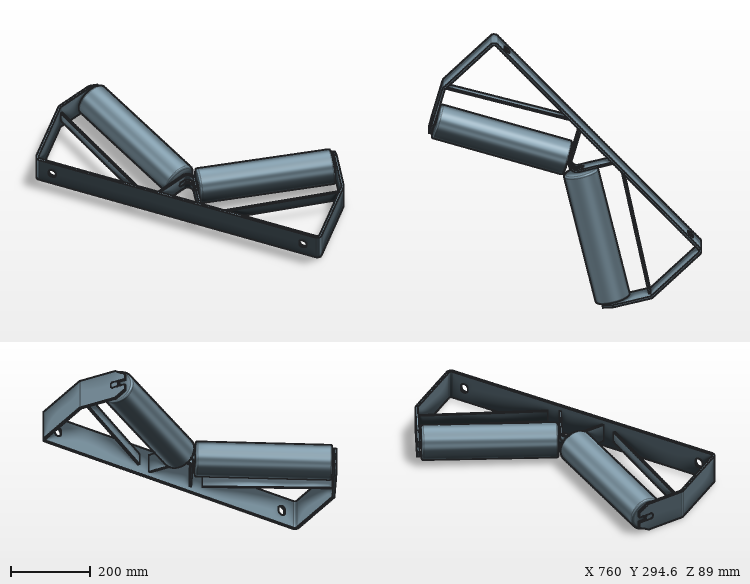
import cadquery as cq
import math

LENGTH = 760
FRAME_HEIGHT = 80.0
FRAME_THICKNESS = 6.0
CORNER_RADIUS = 12.0
SHOULDER_RADIUS = 9.0
SHOULDER_Y = 178.5
FLANGE_ANGLE = 60
FLANGE_LENGTH = 127.0
CHAMFER_ALONG_FLANGE = 26.5
CHAMFER_HEIGHT = 17.0

MOUNT_X = 334.0
MOUNT_WIDTH = 20.0
MOUNT_HEIGHT = 26.5

ROLLER_DIAMETER = 89.0
ROLLER_LENGTH = 343.5
ROLLER_EDGE_RADIUS = 5.0
ROLLER_GAP = 5.0
AXIS_ALONG_FLANGE = 98.0
SHAFT_DIAMETER = 21.0
SHAFT_FLATS = 16.0

BRACKET_HEIGHT = 50.0
BRACKET_THICKNESS = 5.0
BRACKET_BEND_RADIUS = 20.0

BRACE_HEIGHT = 30.5
BRACE_THICKNESS = 5.0
BRACE_FOOT_X = 96.0

half_length = LENGTH / 2
sine = math.sin(math.radians(FLANGE_ANGLE))
cosine = math.cos(math.radians(FLANGE_ANGLE))
slope = sine / cosine
flange_to_bracket = FRAME_THICKNESS + ROLLER_LENGTH + 2 * ROLLER_GAP
shaft_length = flange_to_bracket + BRACKET_THICKNESS

axis_x = -half_length + AXIS_ALONG_FLANGE * cosine
axis_y = SHOULDER_Y + AXIS_ALONG_FLANGE * sine
axis_plane = cq.Plane(origin=(axis_x, axis_y, 0), xDir=(cosine, sine, 0), normal=(sine, -cosine, 0))


def mirrored(body):
    """Right-hand copy of a left-hand body."""
    return body.mirror("YZ")


def prism(points, height):
    """Upright prism centred on Z = 0."""
    return cq.Workplane("XY").polyline(points).close().extrude(height / 2, both=True)


def near(x, y):
    """Selects the upright edge or face closest to a point."""
    return cq.selectors.NearestToPointSelector((x, y, 0))


def flatted_shaft(length):
    """Round shaft with two flats, from the outer flange face along the left roller axis."""
    start = cq.Workplane(axis_plane)
    flats = start.rect(SHAFT_DIAMETER, SHAFT_FLATS).extrude(length)
    return start.circle(SHAFT_DIAMETER / 2).extrude(length).intersect(flats)


def shaft_opening():
    """Left-half cutter: the shaft itself plus the way it drops in along the plates."""
    reach = shaft_length + ROLLER_DIAMETER
    entry = (
        cq.Workplane(axis_plane)
        .center(ROLLER_DIAMETER / 2, 0)
        .rect(ROLLER_DIAMETER, SHAFT_FLATS)
        .extrude(reach)
    )
    left_half = cq.Workplane("XY").box(LENGTH, LENGTH, LENGTH).translate((-half_length, 0, 0))
    return entry.union(flatted_shaft(reach)).intersect(left_half)


def corner_cutter(side):
    """Wedge that bevels the upper (side 1) or lower (side -1) corner of the left flange tip."""
    tip = FLANGE_LENGTH - AXIS_ALONG_FLANGE
    corner_z = side * FRAME_HEIGHT / 2
    bevel = [
        (tip, corner_z),
        (tip - CHAMFER_ALONG_FLANGE, corner_z),
        (tip, corner_z - side * CHAMFER_HEIGHT),
    ]
    return cq.Workplane(axis_plane).polyline(bevel).close().extrude(FRAME_THICKNESS)


def make_frame():
    tip_x = half_length - FLANGE_LENGTH * cosine
    tip_y = SHOULDER_Y + FLANGE_LENGTH * sine
    valley_y = tip_y - tip_x / slope
    outline = [
        (-half_length, 0),
        (-half_length, SHOULDER_Y),
        (-tip_x, tip_y),
        (0, valley_y),
        (tip_x, tip_y),
        (half_length, SHOULDER_Y),
        (half_length, 0),
    ]
    frame = prism(outline, FRAME_HEIGHT)
    for x in (-half_length, half_length):
        frame = frame.edges(near(x, 0)).fillet(CORNER_RADIUS)
        frame = frame.edges(near(x, SHOULDER_Y)).fillet(SHOULDER_RADIUS)

    open_y = (tip_y + valley_y) / 2
    flat_sides = cq.selectors.ParallelDirSelector(cq.Vector(0, 0, 1))
    open_faces = flat_sides + near(-tip_x / 2, open_y) + near(tip_x / 2, open_y)
    frame = frame.faces(open_faces).shell(-FRAME_THICKNESS)

    mounting_slots = (
        cq.Workplane("XZ")
        .pushPoints([(-MOUNT_X, 0), (MOUNT_X, 0)])
        .slot2D(MOUNT_HEIGHT, MOUNT_WIDTH, 90)
        .extrude(-FRAME_THICKNESS)
    )
    frame = frame.cut(mounting_slots)
    for cutter in (shaft_opening(), corner_cutter(1), corner_cutter(-1)):
        frame = frame.cut(cutter).cut(mirrored(cutter))
    return frame


def make_bracket():
    leg_x = axis_x + flange_to_bracket * sine
    leg_y = axis_y - flange_to_bracket * cosine
    apex_y = leg_y - leg_x * slope
    foot_x = (apex_y - FRAME_THICKNESS) / slope
    outline = [(-foot_x, FRAME_THICKNESS), (0, apex_y), (foot_x, FRAME_THICKNESS)]
    bracket = prism(outline, BRACKET_HEIGHT).edges(near(0, apex_y)).fillet(BRACKET_BEND_RADIUS)
    bracket = bracket.faces("|Z or <Y").shell(-BRACKET_THICKNESS)
    opening = shaft_opening()
    return bracket.cut(opening).cut(mirrored(opening))


def make_roller():
    """Left roller: drum with rounded edges on a flatted shaft."""
    drum = (
        cq.Workplane(axis_plane)
        .workplane(offset=FRAME_THICKNESS + ROLLER_GAP)
        .circle(ROLLER_DIAMETER / 2)
        .extrude(ROLLER_LENGTH)
        .edges()
        .fillet(ROLLER_EDGE_RADIUS)
    )
    return drum.union(flatted_shaft(shaft_length))


def make_brace(frame):
    """Left brace: flat bar from the long wall to the inside of the shoulder, fitted to the frame there."""
    inner_x = -half_length + FRAME_THICKNESS
    inner_y = SHOULDER_Y - FRAME_THICKNESS * math.tan(math.radians((90 - FLANGE_ANGLE) / 2))
    run = (inner_x + BRACE_FOOT_X, inner_y - FRAME_THICKNESS, 0)
    length = math.hypot(*run) + FRAME_THICKNESS / 2
    foot = cq.Plane(origin=(-BRACE_FOOT_X, FRAME_THICKNESS, 0), xDir=run, normal=(0, 0, 1))
    bar = (
        cq.Workplane(foot)
        .rect(length, -BRACE_THICKNESS, centered=False)
        .extrude(BRACE_HEIGHT / 2, both=True)
    )
    return bar.cut(frame)


frame = make_frame()
bracket = make_bracket()
roller = make_roller()
brace = make_brace(frame)

result = cq.Compound.makeCompound(
    [
        frame.val(),
        bracket.val(),
        roller.val(),
        mirrored(roller).val(),
        brace.val(),
        mirrored(brace).val(),
    ]
)